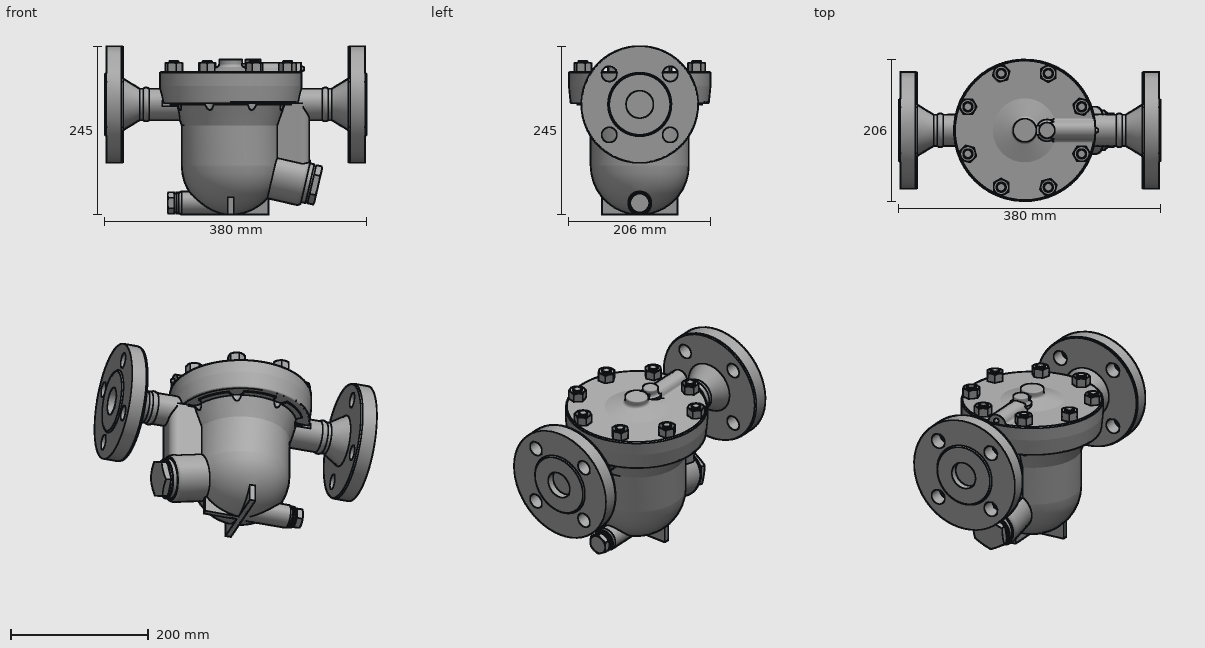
import cadquery as cq
import math


overall_length = 380.0
pipe_shift = 7.2
pipe_diameter = 46.0
bore_diameter = 40.0
bore_depth = 11.5
face_outer_diameter = 88.0
face_root_diameter = 92.5
face_height = 2.3
flange_diameter = 170.0
flange_thickness = 24.5
flange_chamfer_axial = 2.5
flange_chamfer_radial = 1.0
hub_root_diameter = 75.2
hub_length = 24.0
weld_start = 56.0
weld_end = 64.2
weld_diameter = 49.5
flange_hole_diameter = 22.0
flange_hole_circle = 125.0
flange_hole_count = 4
flange_hole_start_angle = 45

cover_diameter = 206.0
cover_top = 47.5
cover_joint = 26.5
cover_chamfer = 2.0
crown_diameter = 92.7
crown_height = 6.5

body_diameter = 143.0
body_bottom = -160.0
rim_lower_diameter = 200.5
rim_bottom = 1.5
rim_edge_fillet = 2.5
rim_overlap = 3.8
step_diameter = 181.5
step_bottom = -0.5
cone_top_diameter = 164.0
cone_bottom = -30.5
dome_center = body_bottom + body_diameter / 2

stud_count = 8
stud_circle = 178.5
stud_diameter = 14.0
stud_top = 63.0
stud_chamfer = 1.0
nut_across_flats = 22.0
nut_height = 13.3
hexagon_chamfer = 1.0
spotface_diameter = 21.0

plug_boss_diameter = 34.0
plug_boss_base_diameter = 42.5
small_boss_diameter = 22.8
small_boss_base_diameter = 31.5
small_boss_offset = 32.3
boss_top = 65.5
boss_edge_fillet = 2.0
boss_neck = 59.3
boss_web_width = 13.0
flare_hollow = 0.3
duct_half_width = 13.5
duct_foot_half_width = 19.0
duct_spring_height = 51.0
duct_top = 60.8
duct_end = 102.2
nub_diameter = 7.0
nub_length = 4.5
nub_height = 51.5
nub_root = 3.8
nub_fillet = 3.0

leg_width = 46.5
leg_end = 114.0
leg_corner_radius = 12.5
leg_bottom = -95.0
pad_end = -99.5
pad_bottom = -2.5

strainer_tilt = 13.0
strainer_diameter = 69.0
strainer_shoulder = 104.5
strainer_shoulder_middle = 108.3
strainer_face = 111.5
strainer_shoulder_middle_diameter = 67.5
strainer_face_diameter = 63.0
strainer_ring_diameter = 58.0
strainer_ring_end = 117.8
strainer_neck_diameter = 53.2
strainer_hex_start = 121.0
strainer_hex_end = 130.5
strainer_hex_flats = 49.5

drain_diameter = 34.0
drain_height = body_bottom + drain_diameter / 2
drain_boss_end = 71.5
drain_face = 75.2
drain_face_diameter = 31.0
drain_neck_diameter = 28.0
drain_ring_start = 76.5
drain_ring_end = 79.5
drain_hex_start = 82.0
drain_hex_end = 91.5
drain_hex_flats = 27.5

foot_reach = 55.0
foot_thickness = 8.5
foot_top = -134.5


def spin(points):
    """Solid of revolution about Z from (radius, height) points."""
    return cq.Workplane("XZ").polyline(points).close().revolve(360, (0, 0), (0, 1))


def hexagon(across_flats, height):
    """Hexagonal prism on Z with its top corners turned off to a cone."""
    across_corners = across_flats / math.cos(math.pi / 6)
    corner_depth = (across_corners - across_flats) / 2
    turning = cq.Workplane("XY").circle(across_corners / 2).extrude(height)
    turning = turning.faces(">Z").chamfer(hexagon_chamfer, corner_depth)
    return cq.Workplane("XY").polygon(6, across_corners).extrude(height).intersect(turning)


def pipe_end():
    """Welding-neck flange with its face at Z = 0 and its pipe running up Z."""
    flange_back = face_height + flange_thickness
    hub_end = flange_back + hub_length
    pipe_radius = pipe_diameter / 2
    run_length = overall_length / 2 - body_diameter / 2
    end = (
        cq.Workplane("XZ")
        .moveTo(0, 0)
        .lineTo(face_outer_diameter / 2, 0)
        .lineTo(face_root_diameter / 2, face_height)
        .lineTo(flange_diameter / 2, face_height)
        .lineTo(flange_diameter / 2, flange_back - flange_chamfer_axial)
        .lineTo(flange_diameter / 2 - flange_chamfer_radial, flange_back)
        .lineTo(hub_root_diameter / 2, flange_back)
        .lineTo(pipe_radius, hub_end)
        .lineTo(pipe_radius, weld_start)
        .threePointArc((weld_diameter / 2, (weld_start + weld_end) / 2), (pipe_radius, weld_end))
        .lineTo(pipe_radius, run_length)
        .lineTo(0, run_length)
        .close()
        .revolve(360, (0, 0), (0, 1))
    )
    bore = cq.Workplane("XY").circle(bore_diameter / 2).extrude(bore_depth)
    holes = (
        cq.Workplane("XY")
        .polarArray(flange_hole_circle / 2, flange_hole_start_angle, 360, flange_hole_count)
        .circle(flange_hole_diameter / 2)
        .extrude(flange_back)
    )
    return end.cut(bore).cut(holes)


def pipe_ends():
    inlet = pipe_end().rotate((0, 0, 0), (0, 1, 0), 90)
    inlet = inlet.translate((-overall_length / 2, 0, 0))
    outlet = inlet.mirror("YZ")
    return inlet.union(outlet).translate((pipe_shift, 0, 0))


def body_shell():
    """Rim, cone, cylinder and dome."""
    radius = body_diameter / 2
    overlap_top = rim_bottom + rim_overlap
    rim = spin([
        (0, rim_bottom),
        (rim_lower_diameter / 2, rim_bottom),
        (cover_diameter / 2, cover_joint),
        (0, cover_joint),
    ]).faces("<Z").edges().fillet(rim_edge_fillet)
    step = cq.Workplane("XY").workplane(offset=step_bottom)
    step = step.circle(step_diameter / 2).extrude(overlap_top - step_bottom)
    barrel = (
        cq.Workplane("XZ")
        .moveTo(0, overlap_top)
        .lineTo(cone_top_diameter / 2, overlap_top)
        .lineTo(cone_top_diameter / 2, rim_bottom)
        .lineTo(radius, cone_bottom)
        .lineTo(radius, dome_center)
        .radiusArc((0, body_bottom), radius)
        .close()
        .revolve(360, (0, 0), (0, 1))
    )
    return rim.union(step).union(barrel)


def leg():
    """Upright passage below the outlet pipe."""
    return (
        cq.Workplane("XY", origin=(leg_end / 2, 0, leg_bottom))
        .rect(leg_end, leg_width)
        .extrude(rim_bottom - leg_bottom)
        .edges("|Z and >X")
        .fillet(leg_corner_radius)
    )


def inlet_pad():
    height = rim_bottom + rim_overlap - pad_bottom
    pad = cq.Workplane("XY").box(-pad_end, leg_width, height, centered=(False, True, False))
    return pad.translate((pad_end, 0, pad_bottom))


def aim_strainer(solid):
    turned = solid.rotate((0, 0, 0), (0, 1, 0), 90 + strainer_tilt)
    return turned.translate((0, 0, dome_center))


def strainer_boss():
    """Round boss with a rounded shoulder."""
    radius = strainer_diameter / 2
    shoulder_middle = (strainer_shoulder_middle_diameter / 2, strainer_shoulder_middle)
    boss = (
        cq.Workplane("XZ")
        .moveTo(0, 0)
        .lineTo(radius, 0)
        .lineTo(radius, strainer_shoulder)
        .threePointArc(shoulder_middle, (strainer_face_diameter / 2, strainer_face))
        .lineTo(0, strainer_face)
        .close()
        .revolve(360, (0, 0), (0, 1))
    )
    return aim_strainer(boss)


def strainer_plug():
    ring = cq.Workplane("XY").circle(strainer_ring_diameter / 2).extrude(strainer_ring_end)
    neck = cq.Workplane("XY").circle(strainer_neck_diameter / 2).extrude(strainer_hex_start)
    head = hexagon(strainer_hex_flats, strainer_hex_end - strainer_hex_start)
    plug = ring.union(neck).union(head.translate((0, 0, strainer_hex_start)))
    return aim_strainer(plug)


def aim_drain(solid):
    return solid.rotate((0, 0, 0), (0, 1, 0), -90).translate((0, 0, drain_height))


def drain_boss():
    radius = drain_diameter / 2
    return aim_drain(spin([
        (0, 0),
        (radius, 0),
        (radius, drain_boss_end),
        (drain_face_diameter / 2, drain_face),
        (0, drain_face),
    ]))


def drain_plug():
    neck = cq.Workplane("XY").circle(drain_neck_diameter / 2).extrude(drain_hex_start)
    ring = cq.Workplane("XY").circle(drain_face_diameter / 2)
    ring = ring.extrude(drain_ring_end - drain_ring_start).translate((0, 0, drain_ring_start))
    head = hexagon(drain_hex_flats, drain_hex_end - drain_hex_start)
    return aim_drain(neck.union(ring).union(head.translate((0, 0, drain_hex_start))))


def feet():
    """Fins under the dome: one across Y and one toward +X."""
    height = foot_top - body_bottom
    cross = cq.Workplane("XY").box(
        foot_thickness, 2 * foot_reach, height, centered=(True, True, False))
    front = cq.Workplane("XY").box(
        foot_reach, foot_thickness, height, centered=(False, True, False))
    return cross.union(front).translate((0, 0, body_bottom))


def cover():
    """Disc with a low conical crown."""
    disc = (
        cq.Workplane("XY", origin=(0, 0, cover_joint))
        .circle(cover_diameter / 2)
        .extrude(cover_top - cover_joint)
        .faces(">Z").edges().chamfer(cover_chamfer)
    )
    crown = spin([
        (0, cover_joint),
        (crown_diameter / 2, cover_joint),
        (crown_diameter / 2, cover_top),
        (plug_boss_base_diameter / 2, cover_top + crown_height),
        (0, cover_top + crown_height),
    ])
    return disc.union(crown)


def cover_boss(diameter, base_diameter, base_height):
    """Round boss with a hollow flare at its foot."""
    radius = diameter / 2
    base_radius = base_diameter / 2
    flare_middle = (
        radius + flare_hollow * (base_radius - radius),
        base_height + flare_hollow * (boss_neck - base_height),
    )
    return (
        cq.Workplane("XZ")
        .moveTo(0, cover_joint)
        .lineTo(base_radius, cover_joint)
        .lineTo(base_radius, base_height)
        .threePointArc(flare_middle, (radius, boss_neck))
        .lineTo(radius, boss_top)
        .lineTo(0, boss_top)
        .close()
        .revolve(360, (0, 0), (0, 1))
        .faces(">Z").edges().fillet(boss_edge_fillet)
    )


def cover_bosses():
    """Center boss, the smaller boss beside it and the web between them."""
    crown_top = cover_top + crown_height
    main = cover_boss(plug_boss_diameter, plug_boss_base_diameter, crown_top)
    small = cover_boss(small_boss_diameter, small_boss_base_diameter, crown_top)
    web = cq.Workplane("XY").box(
        small_boss_offset, boss_web_width, boss_neck - cover_joint, centered=(False, True, False)
    ).translate((0, 0, cover_joint))
    return main.union(web).union(small.translate((small_boss_offset, 0, 0)))


def duct():
    """Round-backed passage from the small boss to the cover edge, with a nub on its end."""
    flare_side = duct_half_width + flare_hollow * (duct_foot_half_width - duct_half_width)
    flare_height = cover_top + flare_hollow * (duct_spring_height - cover_top)
    passage = (
        cq.Workplane("YZ", origin=(small_boss_offset, 0, 0))
        .moveTo(-duct_foot_half_width, cover_joint)
        .lineTo(-duct_foot_half_width, cover_top)
        .threePointArc((-flare_side, flare_height), (-duct_half_width, duct_spring_height))
        .threePointArc((0, duct_top), (duct_half_width, duct_spring_height))
        .threePointArc((flare_side, flare_height), (duct_foot_half_width, cover_top))
        .lineTo(duct_foot_half_width, cover_joint)
        .close()
        .extrude(duct_end - small_boss_offset)
    )
    limit = cq.Workplane("XY", origin=(0, 0, cover_joint))
    limit = limit.circle(duct_end).extrude(duct_top)
    nub = (
        cq.Workplane("YZ", origin=(duct_end - nub_root, 0, nub_height))
        .circle(nub_diameter / 2)
        .extrude(nub_root + nub_length)
        .faces(">X").edges().fillet(nub_fillet)
    )
    return passage.intersect(limit).union(nub)


def around_studs(solid):
    """Copies of a solid on the Z axis, one at every stud; each copy turns with its stud."""
    pitch = 360 / stud_count
    first_angle = math.radians(-pitch / 2)
    radius = stud_circle / 2
    first = solid.translate((radius * math.cos(first_angle), radius * math.sin(first_angle), 0))
    copies = first
    for index in range(1, stud_count):
        copies = copies.union(first.rotate((0, 0, 0), (0, 0, 1), index * pitch))
    return copies


def nuts_and_studs():
    nut = hexagon(nut_across_flats, nut_height).translate((0, 0, cover_top))
    stud = cq.Workplane("XY", origin=(0, 0, cover_joint)).circle(stud_diameter / 2)
    stud = stud.extrude(stud_top - cover_joint).faces(">Z").chamfer(stud_chamfer)
    return around_studs(nut.union(stud))


def spotfaces():
    """Clearance cut up to the underside of the rim at every stud."""
    cutter = cq.Workplane("XY", origin=(0, 0, cone_bottom)).circle(spotface_diameter / 2)
    return around_studs(cutter.extrude(rim_bottom - cone_bottom))


casting = body_shell().cut(spotfaces()).union(leg()).union(strainer_boss()).union(drain_boss())
result = (
    casting
    .union(inlet_pad())
    .union(feet())
    .union(pipe_ends())
    .union(strainer_plug())
    .union(drain_plug())
    .union(cover())
    .union(cover_bosses())
    .union(duct())
    .union(nuts_and_studs())
)